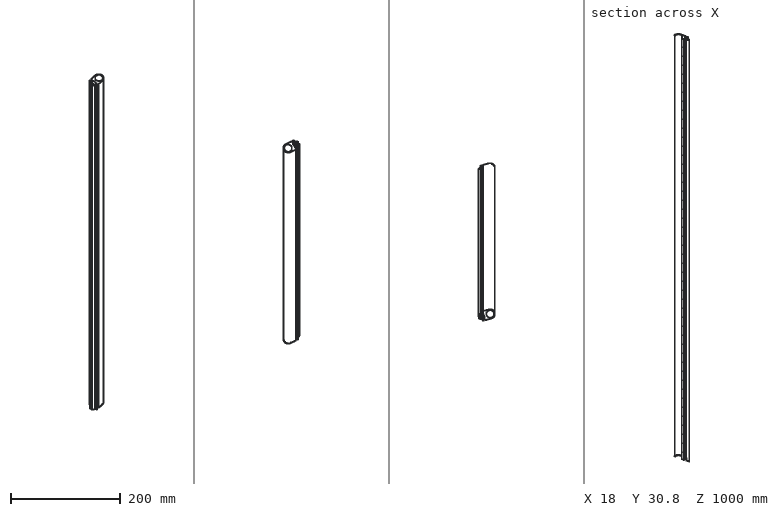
import cadquery as cq
import math

LENGTH = 1000.0
WIDTH = 18.0
HEIGHT = 30.8

BORE_DIAMETER = 14.0
BORE_CENTER_Y = 22.1

FOOT_BOTTOM_WIDTH = 6.1
FOOT_FLANK_ANGLE = 30.0
SHOULDER_Y = 6.0

GROOVE_BOTTOM_Y = 7.5
GROOVE_DEPTH = 1.6
GROOVE_SLOPE_BOTTOM_Y = 9.7

SLOT_MOUTH_WIDTH = 3.1
SLOT_CHAMBER_WIDTH = 10.5
SLOT_CHAMBER_BOTTOM_Y = 5.5
SLOT_CHAMBER_TOP_Y = 10.3

HALF_WIDTH = WIDTH / 2
CROWN_CENTER_Y = HEIGHT - HALF_WIDTH
FOOT_BOTTOM_HALF = FOOT_BOTTOM_WIDTH / 2
FOOT_TOP_HALF = FOOT_BOTTOM_HALF + SHOULDER_Y * math.tan(math.radians(FOOT_FLANK_ANGLE))
GROOVE_FLOOR_X = HALF_WIDTH - GROOVE_DEPTH
GROOVE_TOP_Y = GROOVE_SLOPE_BOTTOM_Y + GROOVE_DEPTH


def mirrored(points):
    """The same points on the -X side, in reverse order."""
    return [(-x, y) for x, y in reversed(points)]


def make_body():
    """Solid outline with the round crown, side grooves and tapered foot."""
    right_side = [
        (FOOT_BOTTOM_HALF, 0),
        (FOOT_TOP_HALF, SHOULDER_Y),
        (HALF_WIDTH, SHOULDER_Y),
        (HALF_WIDTH, GROOVE_BOTTOM_Y),
        (GROOVE_FLOOR_X, GROOVE_BOTTOM_Y),
        (GROOVE_FLOOR_X, GROOVE_SLOPE_BOTTOM_Y),
        (HALF_WIDTH, GROOVE_TOP_Y),
        (HALF_WIDTH, CROWN_CENTER_Y),
    ]
    left_side = mirrored(right_side)
    outline = (
        cq.Workplane("XY")
        .polyline(right_side)
        .threePointArc((0, HEIGHT), left_side[0])
        .polyline(left_side[1:], includeCurrent=True)
        .close()
    )
    return outline.extrude(LENGTH)


def make_bore():
    """Round passage through the tube, along the full length."""
    return cq.Workplane("XY").center(0, BORE_CENTER_Y).circle(BORE_DIAMETER / 2).extrude(LENGTH)


def make_t_slot():
    """Wide inner chamber with a narrow mouth through the foot."""
    half_mouth = SLOT_MOUTH_WIDTH / 2
    half_chamber = SLOT_CHAMBER_WIDTH / 2
    right_side = [
        (half_mouth, 0),
        (half_mouth, SLOT_CHAMBER_BOTTOM_Y),
        (half_chamber, SLOT_CHAMBER_BOTTOM_Y),
        (half_chamber, SLOT_CHAMBER_TOP_Y),
    ]
    return cq.Workplane("XY").polyline(right_side + mirrored(right_side)).close().extrude(LENGTH)


result = make_body().cut(make_bore()).cut(make_t_slot())